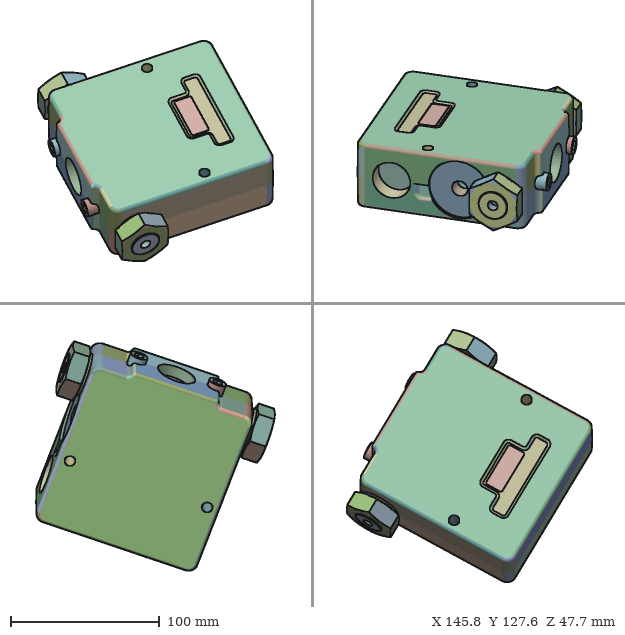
import cadquery as cq
import math


HALF_WIDTH = 57.7
HALF_HEIGHT = 23.84
SHOULDER_Y = -119.5
FRONT_Y = -123.8
CORNER_RADIUS = 6.7
EDGE_RADIUS = 2.3
DRAFT_ANGLE = 0.7

PAD_HALF_WIDTH = 28.9
PAD_CREST_RADIUS = 2.3
PAD_ROOT_RADIUS = 3.0

MOUNT_X = 49.1
MOUNT_Y = -48.8
MOUNT_DIAMETER = 7.1

PORT_RADIUS = 13.3
SIDE_PORT_Y = -25.8
SIDE_PORT_DEPTH = 13.1
FRONT_PORT_DEPTH = 8.0

PLATE_REAR_Y = -19.8
PLATE_BAR_HALF_WIDTH = 30.8
PLATE_BAR_LENGTH = 11.8
PLATE_STEM_HALF_WIDTH = 18.1
PLATE_LENGTH = 26.5
PLATE_CORNER_RADIUS = 2.8
PLATE_DEPTH = 1.0
PLATE_WALL_RUN = 2.0

LABEL_Y = -37.3
LABEL_WIDTH = 32.0
LABEL_LENGTH = 12.5
LABEL_CORNER_RADIUS = 1.5
LABEL_HEIGHT = 0.5

STOP_REAR_Y = -44.5
STOP_FRONT_Y = -55.3
STOP_HALF_HEIGHT = 9.3
STOP_CORNER_RADIUS = 2.2
STOP_DEPTH = 1.5
STOP_WALL_ANGLE = 50.0
STOP_WALL_RADIUS = 2.6

SPOOL_Y = -73.3
SPOOL_RADIUS = 21.5
SPOOL_RECESS = 2.3
SPOOL_LENGTH = 26.2
SPOOL_HOLE_RADIUS = 5.5
SPOOL_HOLE_DEPTH = 11.7

CAP_Y = -102.0
CAP_FLATS = 33.7
CAP_INNER_X = 59.8
CAP_OUTER_X = 72.3
CAP_COLLAR_RADIUS = 15.0
CAP_FACE_RADIUS = 16.6
CAP_CHAMFER_LENGTH = 0.9
STEM_RADIUS = 10.2
STEM_TIP_X = 72.9
STEM_END_X = HALF_WIDTH - SPOOL_RECESS
STEM_CHAMFER = 0.5
STEM_HOLE_RADIUS = 3.5
STEM_HOLE_DEPTH = 7.3

SCREW_X = 28.1
SCREW_RADIUS = 6.0
SCREW_HEAD_Y = -127.6
SCREW_END_Y = -110.8
SOCKET_FLATS = 6.3
SOCKET_DEPTH = 4.4

DRILL_HALF_ANGLE = 59.0


def rod(x, y, radius, length):
    """Cylinder along +X whose first end is centred at (x, y, 0)."""
    return cq.Workplane("YZ", origin=(x, y, 0)).circle(radius).extrude(length)


def rod_along_y(x, y, radius, length):
    """Cylinder along +Y whose first end is centred at (x, y, 0)."""
    return cq.Workplane("XZ", origin=(x, y, 0)).circle(radius).extrude(-length)


def drilled_hole(x, y, radius, depth):
    """Blind hole along +X with a conical drill point beyond its straight depth."""
    point = radius / math.tan(math.radians(DRILL_HALF_ANGLE))
    profile = [(0, 0), (0, radius), (depth, radius), (depth + point, 0)]
    return (
        cq.Workplane("XY", origin=(x, y, 0)).polyline(profile).close()
        .revolve(360, (0, 0, 0), (1, 0, 0))
    )


def both_sides(left_body):
    """The left-hand body and its mirror image across X = 0."""
    return [left_body, left_body.mirror("YZ")]


def housing_outline():
    """Housing outline at the parting plane."""
    step = SHOULDER_Y - FRONT_Y
    sweep = math.acos(1 - step / (PAD_CREST_RADIUS + PAD_ROOT_RADIUS))

    def along_arc(radius, angle):
        return radius * math.sin(angle), radius * (1 - math.cos(angle))

    def s_curve(side):
        """Points of one S-curve, from the pad crest out to the shoulder."""
        crest_mid = along_arc(PAD_CREST_RADIUS, sweep / 2)
        crest_end = along_arc(PAD_CREST_RADIUS, sweep)
        root_mid = along_arc(PAD_ROOT_RADIUS, sweep / 2)
        root_end = along_arc(PAD_ROOT_RADIUS, sweep)
        root_x = PAD_HALF_WIDTH + crest_end[0] + root_end[0]
        return [
            (side * PAD_HALF_WIDTH, FRONT_Y),
            (side * (PAD_HALF_WIDTH + crest_mid[0]), FRONT_Y + crest_mid[1]),
            (side * (PAD_HALF_WIDTH + crest_end[0]), FRONT_Y + crest_end[1]),
            (side * (root_x - root_mid[0]), SHOULDER_Y - root_mid[1]),
            (side * root_x, SHOULDER_Y),
        ]

    left = s_curve(-1)
    right = s_curve(1)
    inset = CORNER_RADIUS * (1 - math.sqrt(0.5))
    flat_x = HALF_WIDTH - CORNER_RADIUS
    flat_front = SHOULDER_Y + CORNER_RADIUS
    return (
        cq.Workplane("XY")
        .moveTo(*left[0])
        .lineTo(*right[0])
        .threePointArc(right[1], right[2])
        .threePointArc(right[3], right[4])
        .lineTo(flat_x, SHOULDER_Y)
        .threePointArc((HALF_WIDTH - inset, SHOULDER_Y + inset), (HALF_WIDTH, flat_front))
        .lineTo(HALF_WIDTH, -CORNER_RADIUS)
        .threePointArc((HALF_WIDTH - inset, -inset), (flat_x, 0))
        .lineTo(-flat_x, 0)
        .threePointArc((-HALF_WIDTH + inset, -inset), (-HALF_WIDTH, -CORNER_RADIUS))
        .lineTo(-HALF_WIDTH, flat_front)
        .threePointArc((-HALF_WIDTH + inset, SHOULDER_Y + inset), (-flat_x, SHOULDER_Y))
        .lineTo(*left[4])
        .threePointArc(left[3], left[2])
        .threePointArc(left[1], left[0])
        .close()
    )


def cut_stop_pocket(lower_half):
    """Cut the stop pocket; its sloped wall blends into its floor and the left face."""
    centre_y = (STOP_REAR_Y + STOP_FRONT_Y) / 2
    length = STOP_REAR_Y - STOP_FRONT_Y
    cutter = (
        cq.Workplane("YZ", origin=(-HALF_WIDTH + STOP_DEPTH, centre_y, 0))
        .sketch()
        .rect(length, 2 * STOP_HALF_HEIGHT)
        .vertices().fillet(STOP_CORNER_RADIUS)
        .finalize()
        .extrude(-2 * STOP_DEPTH, taper=-STOP_WALL_ANGLE)
        .faces(">X").edges().fillet(STOP_WALL_RADIUS)
    )
    lower_half = lower_half.cut(cutter)
    reach = length / 2 + STOP_WALL_RADIUS
    around_rim = cq.selectors.BoxSelector(
        (-HALF_WIDTH, centre_y - reach, -STOP_HALF_HEIGHT - STOP_WALL_RADIUS),
        (-HALF_WIDTH + STOP_DEPTH / 2, centre_y + reach, -STOP_DEPTH),
    )
    return lower_half.edges(around_rim).fillet(STOP_WALL_RADIUS)


def housing_blank():
    """Two drafted halves meeting at the parting plane, the lower one with the stop pocket."""
    upper = housing_outline().extrude(HALF_HEIGHT, taper=DRAFT_ANGLE)
    upper = upper.faces(">Z").edges().fillet(EDGE_RADIUS)
    lower = cut_stop_pocket(upper.mirror("XY"))
    return upper.union(lower, clean=False)


def name_plate_recess():
    """T-shaped recess whose wall flares outward from the floor to the top face."""
    bar_front_y = PLATE_REAR_Y - PLATE_BAR_LENGTH
    stem_front_y = PLATE_REAR_Y - PLATE_LENGTH
    outline = [
        (-PLATE_BAR_HALF_WIDTH, PLATE_REAR_Y), (PLATE_BAR_HALF_WIDTH, PLATE_REAR_Y),
        (PLATE_BAR_HALF_WIDTH, bar_front_y), (PLATE_STEM_HALF_WIDTH, bar_front_y),
        (PLATE_STEM_HALF_WIDTH, stem_front_y), (-PLATE_STEM_HALF_WIDTH, stem_front_y),
        (-PLATE_STEM_HALF_WIDTH, bar_front_y), (-PLATE_BAR_HALF_WIDTH, bar_front_y),
    ]
    half_run = PLATE_WALL_RUN / 2
    wall_angle = math.degrees(math.atan2(PLATE_WALL_RUN, PLATE_DEPTH))
    mid_wall = (
        cq.Workplane("XY", origin=(0, 0, HALF_HEIGHT - PLATE_DEPTH))
        .polyline(outline).close().extrude(PLATE_DEPTH)
        .edges("|Z").fillet(PLATE_CORNER_RADIUS)
    )
    return (
        mid_wall.faces("<Z").wires().toPending()
        .offset2D(-half_run).extrude(PLATE_DEPTH, combine=False, taper=-wall_angle)
    )


def label_panel():
    """Rounded rectangle standing on the recess floor."""
    return (
        cq.Workplane("XY", origin=(0, LABEL_Y, HALF_HEIGHT - PLATE_DEPTH))
        .rect(LABEL_WIDTH, LABEL_LENGTH).extrude(LABEL_HEIGHT)
        .edges("|Z").fillet(LABEL_CORNER_RADIUS)
    )


def housing():
    """Drafted casting with its ports, recesses and the seats of the other bodies."""
    body = housing_blank()
    mounts = (
        cq.Workplane("XY", origin=(0, MOUNT_Y, -HALF_HEIGHT))
        .pushPoints([(-MOUNT_X, 0), (MOUNT_X, 0)])
        .circle(MOUNT_DIAMETER / 2).extrude(2 * HALF_HEIGHT)
    )
    body = body.cut(mounts).cut(name_plate_recess()).union(label_panel())
    body = body.cut(rod(-HALF_WIDTH, SIDE_PORT_Y, PORT_RADIUS, SIDE_PORT_DEPTH))
    body = body.cut(rod_along_y(0, FRONT_Y, PORT_RADIUS, FRONT_PORT_DEPTH))
    body = body.cut(rod(-HALF_WIDTH, SPOOL_Y, SPOOL_RADIUS, SPOOL_RECESS + SPOOL_LENGTH))
    for seat in both_sides(stem_blank()):
        body = body.cut(seat)
    for x in (-SCREW_X, SCREW_X):
        body = body.cut(screw_blank(x))
    return body.val()


def spool():
    """Spool end, sunk slightly below the left face, with a drilled hole for its lever."""
    face_x = -HALF_WIDTH + SPOOL_RECESS
    body = rod(face_x, SPOOL_Y, SPOOL_RADIUS, SPOOL_LENGTH)
    return body.cut(drilled_hole(face_x, SPOOL_Y, SPOOL_HOLE_RADIUS, SPOOL_HOLE_DEPTH))


def hex_cap():
    """Left hex cap: hexagon chamfered on both faces, round collar, bore for the stem."""
    height = CAP_OUTER_X - CAP_INNER_X
    corner_radius = CAP_FLATS / math.sqrt(3)
    hexagon = (
        cq.Workplane("YZ", origin=(-CAP_OUTER_X, CAP_Y, 0))
        .transformed(rotate=(0, 0, 90))
        .polygon(6, 2 * corner_radius).extrude(height)
    )
    envelope = (
        rod(-CAP_OUTER_X, CAP_Y, corner_radius, height)
        .faces("<X or >X").chamfer(CAP_CHAMFER_LENGTH, corner_radius - CAP_FACE_RADIUS)
    )
    collar = rod(-CAP_INNER_X, CAP_Y, CAP_COLLAR_RADIUS, CAP_INNER_X - HALF_WIDTH)
    bore = rod(-CAP_OUTER_X, CAP_Y, STEM_RADIUS, CAP_OUTER_X - HALF_WIDTH)
    return hexagon.intersect(envelope).union(collar).cut(bore)


def stem_blank():
    """Left adjuster stem without its hole."""
    body = rod(-STEM_TIP_X, CAP_Y, STEM_RADIUS, STEM_TIP_X - STEM_END_X)
    return body.faces("<X").chamfer(STEM_CHAMFER)


def stem():
    """Left adjuster stem filling the bore of its cap and standing slightly proud of it."""
    hole = drilled_hole(-STEM_TIP_X, CAP_Y, STEM_HOLE_RADIUS, STEM_HOLE_DEPTH)
    return stem_blank().cut(hole)


def screw_blank(x):
    """Screw cylinder without its socket."""
    return rod_along_y(x, SCREW_HEAD_Y, SCREW_RADIUS, SCREW_END_Y - SCREW_HEAD_Y)


def screw(x):
    """Socket screw pointing into the front pad, with a hexagonal socket in its end."""
    socket = (
        cq.Workplane("XZ", origin=(x, SCREW_HEAD_Y, 0))
        .transformed(rotate=(0, 0, 90))
        .polygon(6, 2 * SOCKET_FLATS / math.sqrt(3)).extrude(-SOCKET_DEPTH)
    )
    return screw_blank(x).cut(socket)


hex_caps = both_sides(hex_cap())
stems = both_sides(stem())
screws = [screw(x) for x in (-SCREW_X, SCREW_X)]

result = cq.Compound.makeCompound([
    housing(),
    spool().val(),
    *[body.val() for body in hex_caps + stems + screws],
])